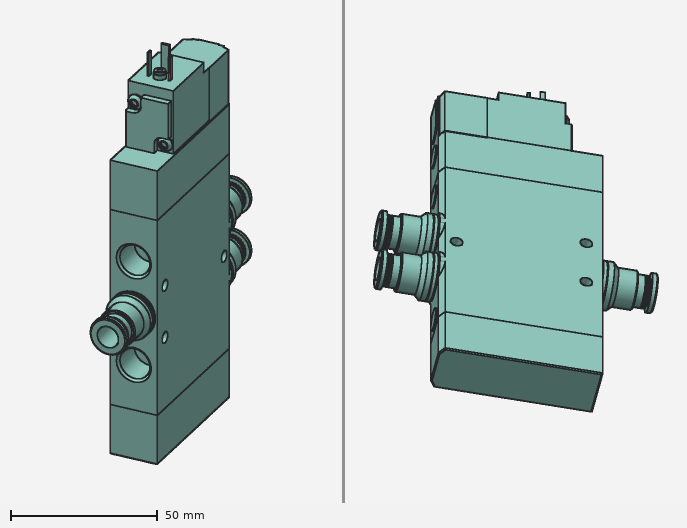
import cadquery as cq
import math


valve_width = 18.0
valve_depth = 56.7
bottom_joint_z = 19.2
top_joint_z = 94.1
valve_top_z = 113.2
middle_z = 56.5
rear_chamfer_side = 2.7
rear_chamfer_depth = 1.8
bottom_chamfer = 0.5

port_diameter = 11.5
port_rim_diameter = 13.2
port_depth = 11.9
exhaust_pitch = 39.8
outlet_pitch = 20.0
outlet_pad_diameter = 18.1
outlet_zs = [middle_z - outlet_pitch / 2, middle_z + outlet_pitch / 2]
mounting_hole_diameter = 4.2
front_hole_y = 5.8
rear_hole_y = 51.0

button_diameter = 8.0
button_height = 0.5
lower_screw_z = 24.7
upper_screw_z = 109.0
override_z = 88.4

adapter_width = 17.4
adapter_top_z = 134.0
adapter_step_depth = 0.6
adapter_front_y = 40.2
tab_bottom_z = 117.6
coil_width = 17.2
coil_gap = 0.5
coil_top_z = 137.8
coil_step_y = 36.2
coil_front_y = 12.9
plate_front_y = 10.4
plate_right_x = 7.9
plate_top_z = 133.8
plate_chamfer = 0.6
coil_screw_diameter = 5.6
coil_screw_height = 1.6
coil_screw_chamfer = 1.2
coil_socket_diameter = 2.5
coil_socket_depth = 1.0
coil_screw_x = 5.6
coil_screw_z_upper = 130.4
coil_screw_z_lower = 117.0
screw_relief_radius = 3.1

terminal_y = 19.9
side_blade_x = 4.0
side_blade_width = 1.8
side_blade_thickness = 0.6
side_blade_top_z = 146.7
earth_blade_y = 24.2
earth_blade_width = 3
earth_blade_thickness = 0.9
earth_blade_top_z = 148.5
boss_diameter = 4.5
boss_height = 1.8
boss_tip_diameter = 3.9
boss_tip_height = 2.7
boss_hole_diameter = 2.0

collar_diameter = 17.0
collar_groove_diameter = 16.3
seal_thickness = 0.5
collar_groove_start = 1.8
collar_groove_end = 2.1
collar_length = 4.2
cone_end = 6
sleeve_diameter = 13.7
sleeve_end = 12.9
sleeve_chamfer = 0.5
collet_diameter = 11.5
collet_end = 17.2
neck_diameter = 9.4
ring_start = 17.8
ring_diameter = 13.8
fitting_length = 19.8
ring_chamfer = 0.5
tube_bore_diameter = 8.0
tube_bore_depth = 11.9
flow_bore_diameter = 5.6
notch_count = 30
notch_length = 1.6
notch_width = 0.6
notch_depth = 0.6


def block(width, y_front, y_rear, z_bottom, z_top):
    """Box centred on the middle plane."""
    return (
        cq.Workplane("XY")
        .box(width, y_rear - y_front, z_top - z_bottom, centered=(True, False, False))
        .translate((0, y_front, z_bottom))
    )


def rear_cylinder(diameter, z, y_start, y_end):
    """Cylinder along +Y on the middle plane."""
    length = y_end - y_start
    cylinder = cq.Solid.makeCylinder(diameter / 2, length, cq.Vector(0, y_start, z), cq.Vector(0, 1, 0))
    return cq.Workplane(cylinder)


def rear_chamfered_block(width, y_front, z_bottom, z_top, chamfer_y=valve_depth):
    """Block ending at chamfer_y, with both upright rear edges chamfered."""
    half = width / 2
    side_y = valve_depth - rear_chamfer_depth
    rear_x = half - rear_chamfer_side
    outline = [
        (-half, y_front),
        (half, y_front),
        (half, side_y),
        (rear_x, chamfer_y),
        (-rear_x, chamfer_y),
        (-half, side_y),
    ]
    return cq.Workplane("XY").workplane(offset=z_bottom).polyline(outline).close().extrude(z_top - z_bottom)


def rear_button(z):
    side_y = valve_depth - rear_chamfer_depth
    return rear_cylinder(button_diameter, z, side_y, valve_depth + button_height)


def port_cutter(chamfered):
    """Blind port bore entering at the origin along +Z of its own axis."""
    bore_radius = port_diameter / 2
    rim_radius = port_rim_diameter / 2 if chamfered else bore_radius
    rim_depth = rim_radius - bore_radius
    outline = [(0, 0), (rim_radius, 0)]
    if chamfered:
        outline.append((bore_radius, rim_depth))
    outline += [(bore_radius, port_depth), (0, port_depth)]
    return cq.Workplane("XY").polyline(outline).close().revolve(360, (0, 0, 0), (0, 1, 0))


def build_valve_body():
    body = rear_chamfered_block(valve_width, 0, bottom_joint_z, top_joint_z)

    envelope = block(valve_width, 0, valve_depth, bottom_joint_z, top_joint_z)
    for z in outlet_zs:
        pad = rear_cylinder(outlet_pad_diameter, z, valve_depth - rear_chamfer_depth, valve_depth)
        body = body.union(pad.intersect(envelope))

    for z in [lower_screw_z, override_z]:
        body = body.union(rear_button(z))

    for z in [middle_z - exhaust_pitch / 2, middle_z + exhaust_pitch / 2]:
        body = body.cut(port_cutter(True).translate((0, 0, z)))
    body = body.cut(port_cutter(False).translate((0, 0, middle_z)))
    for z in outlet_zs:
        outlet = port_cutter(False).rotate((0, 0, 0), (0, 0, 1), 180)
        body = body.cut(outlet.translate((0, valve_depth, z)))

    mounting_holes = [(front_hole_y, z) for z in outlet_zs] + [(rear_hole_y, middle_z)]
    drills = cq.Workplane("YZ").pushPoints(mounting_holes).circle(mounting_hole_diameter / 2)
    return body.cut(drills.extrude(valve_width, both=True))


def build_bottom_cover():
    cover = rear_chamfered_block(valve_width, 0, 0, bottom_joint_z)
    return cover.faces("<Z").chamfer(bottom_chamfer)


def build_front_plate():
    """Raised plate on the coil front, relieved at two opposite corners for the screws."""
    left_x = -coil_width / 2
    coil_bottom_z = valve_top_z + coil_gap
    thickness = coil_front_y - plate_front_y
    relief_x = coil_screw_x - screw_relief_radius
    upper_relief_z = coil_screw_z_upper - screw_relief_radius
    lower_relief_z = coil_screw_z_lower + screw_relief_radius
    arc_step = screw_relief_radius * (1 - math.sqrt(0.5))
    plate = (
        cq.Workplane("XZ", origin=(0, coil_front_y, 0))
        .moveTo(left_x, coil_bottom_z)
        .lineTo(relief_x, coil_bottom_z)
        .lineTo(relief_x, coil_screw_z_lower)
        .threePointArc((relief_x + arc_step, lower_relief_z - arc_step), (coil_screw_x, lower_relief_z))
        .lineTo(plate_right_x, lower_relief_z)
        .lineTo(plate_right_x, plate_top_z)
        .lineTo(-relief_x, plate_top_z)
        .lineTo(-relief_x, coil_screw_z_upper)
        .threePointArc((-relief_x - arc_step, upper_relief_z + arc_step), (-coil_screw_x, upper_relief_z))
        .lineTo(left_x, upper_relief_z)
        .close()
        .extrude(thickness)
    )
    return plate.faces("<X").edges("<Y").chamfer(plate_chamfer)


def build_coil_screw(x, z):
    return (
        cq.Workplane("XZ", origin=(x, coil_front_y, z))
        .circle(coil_screw_diameter / 2)
        .extrude(coil_screw_height)
        .faces("<Y")
        .chamfer(coil_screw_chamfer)
        .faces("<Y")
        .workplane()
        .hole(coil_socket_diameter, coil_socket_depth)
    )


def build_terminals():
    earth_rear_y = earth_blade_y + earth_blade_thickness / 2
    terminals = block(
        earth_blade_width, earth_rear_y - earth_blade_thickness, earth_rear_y, coil_top_z, earth_blade_top_z
    )
    side_front_y = terminal_y - side_blade_width / 2
    side_blade = block(
        side_blade_thickness, side_front_y, side_front_y + side_blade_width, coil_top_z, side_blade_top_z
    )
    for x in [-side_blade_x, side_blade_x]:
        terminals = terminals.union(side_blade.translate((x, 0, 0)))
    base = cq.Workplane("XY", origin=(0, terminal_y, coil_top_z))
    boss = base.circle(boss_diameter / 2).extrude(boss_height)
    boss = boss.union(base.circle(boss_tip_diameter / 2).extrude(boss_tip_height))
    boss = boss.cut(base.circle(boss_hole_diameter / 2).extrude(boss_tip_height))
    return terminals.union(boss)


def build_adapter():
    step_y = valve_depth - adapter_step_depth
    adapter = rear_chamfered_block(adapter_width, adapter_front_y, valve_top_z, adapter_top_z, step_y)
    rear_land_width = adapter_width - 2 * rear_chamfer_side
    adapter = adapter.union(block(rear_land_width, step_y, valve_depth, valve_top_z, adapter_top_z))
    round_z = tab_bottom_z + button_diameter / 2
    tab = block(button_diameter, adapter_front_y, valve_depth + button_height, round_z, adapter_top_z)
    tab_end = rear_cylinder(button_diameter, round_z, adapter_front_y, valve_depth + button_height)
    return adapter.union(tab).union(tab_end)


def build_top_cover():
    """Top cover together with the pilot that stands on it."""
    cover = rear_chamfered_block(valve_width, 0, top_joint_z, valve_top_z)
    cover = cover.union(rear_button(upper_screw_z))
    cover = cover.union(build_adapter())

    coil_bottom_z = valve_top_z + coil_gap
    cover = cover.union(block(coil_width, coil_front_y, adapter_front_y, coil_bottom_z, adapter_top_z))
    cover = cover.union(block(coil_width, coil_front_y, coil_step_y, coil_bottom_z, coil_top_z))
    cover = cover.union(build_front_plate())
    cover = cover.union(build_coil_screw(-coil_screw_x, coil_screw_z_upper))
    cover = cover.union(build_coil_screw(coil_screw_x, coil_screw_z_lower))
    return cover.union(build_terminals())


def build_fitting():
    """Fitting pointing along -Y, seated at the origin, with its shank filling a port."""
    collar = collar_diameter / 2
    groove = collar_groove_diameter / 2
    sleeve = sleeve_diameter / 2
    collet = collet_diameter / 2
    neck = neck_diameter / 2
    ring = ring_diameter / 2
    shank = port_diameter / 2
    profile = [
        (0, -port_depth),
        (shank, -port_depth),
        (shank, 0),
        (groove, 0),
        (groove, seal_thickness),
        (collar, seal_thickness),
        (collar, collar_groove_start),
        (groove, collar_groove_start),
        (groove, collar_groove_end),
        (collar, collar_groove_end),
        (collar, collar_length),
        (sleeve, cone_end),
        (sleeve, sleeve_end - sleeve_chamfer),
        (sleeve - sleeve_chamfer, sleeve_end),
        (collet, sleeve_end),
        (collet, collet_end),
        (neck, collet_end),
        (neck, ring_start),
        (ring, ring_start),
        (ring, fitting_length - ring_chamfer),
        (ring - ring_chamfer, fitting_length),
        (0, fitting_length),
    ]
    outline = [(radius, -distance) for radius, distance in profile]
    fitting = cq.Workplane("XY").polyline(outline).close().revolve(360, (0, 0, 0), (0, 1, 0))

    notch = cq.Workplane("XY").box(notch_width, notch_length, 2 * notch_depth)
    notch = notch.translate((0, notch_length / 2 - collet_end, collet))
    for i in range(notch_count):
        fitting = fitting.cut(notch.rotate((0, 0, 0), (0, 1, 0), i * 360 / notch_count))

    fitting = fitting.cut(rear_cylinder(flow_bore_diameter, 0, -fitting_length, port_depth))
    tube_stop_y = tube_bore_depth - fitting_length
    return fitting.cut(rear_cylinder(tube_bore_diameter, 0, -fitting_length, tube_stop_y))


valve_body = build_valve_body()
bottom_cover = build_bottom_cover()
top_cover = build_top_cover()

fitting = build_fitting()
fittings = [fitting.translate((0, 0, middle_z))]
for outlet_z in outlet_zs:
    rear_fitting = fitting.rotate((0, 0, 0), (0, 0, 1), 180)
    fittings.append(rear_fitting.translate((0, valve_depth, outlet_z)))

result = cq.Compound.makeCompound(
    [valve_body.val(), bottom_cover.val(), top_cover.val(), *[each.val() for each in fittings]]
)